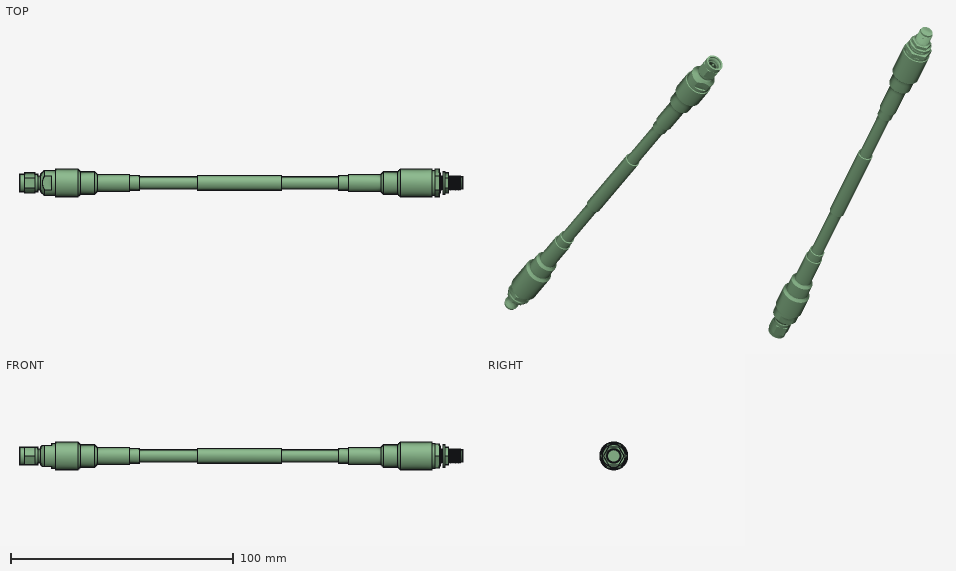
import cadquery as cq
import math

LENGTH = 199.4

BARREL_R = 6.28
COLLAR_R = 5.7
CRIMP_R = 5.1
BOOT_R = 3.9
BOOT_TIP_R = 3.4
CABLE_R = 2.8

BOOT_TIP_LENGTH = 4.4
BOOT_LENGTH = 19.0
CRIMP_END = 26.5

THREAD_R = 3.2
THREAD_DEPTH = 0.4
THREAD_PITCH = 0.7
SMALL_HEX_FLATS = 8.0
SMALL_HEX_CORNER_R = SMALL_HEX_FLATS / 2 / math.cos(math.radians(30))

NUT_LENGTH = 8.2
NUT_HEX_START = 2.2
NUT_HEX_END = 6.8
NUT_THREAD_START = 0.8
NUT_THREAD_COUNT = 5

PIN_R = 0.4
PIN_START = 1.5
NOSE_R = 2.5
NOSE_BORE_R = 2.0
NOSE_START = 2.4
DIELECTRIC_FACE = 4.4
SPIGOT_R = THREAD_R
SPIGOT_START = 5.5
SHOULDER_R = 4.0
SHOULDER_START = 9.4
CONE_END = 11.2
FLAT_END = 14.4
FLAT_SPACING = 9.5
PLUG_BARREL_START = 16.1
PLUG_END = 53.8

SLEEVE_R = 3.4
SLEEVE_START = 80.0
SLEEVE_END = 117.8

JACK_START = 143.5
JACK_BARREL_END = 185.6
JACK_HEX_START = 186.8
JACK_HEX_END = 188.8
JACK_STEP_R = 4.5
JACK_STEP_END = 189.5
JACK_THREAD_COUNT = 13
TIP_R = THREAD_R - THREAD_DEPTH

WASHER_R = 5.1
WASHER_START = 190.4
HEX_NUT_START = 191.4
HEX_NUT_END = 193.0


def revolve_profile(points):
    """Solid of revolution about X from the (x, radius) points of its outline."""
    return cq.Workplane("XY").polyline(points).close().revolve(360, (0, 0, 0), (1, 0, 0))


def disc(start, end, radius):
    return cq.Workplane("YZ", origin=(start, 0, 0)).circle(radius).extrude(end - start)


def tube(start, end, radius, bore_radius):
    return disc(start, end, radius).cut(disc(start, end, bore_radius))


def hex_prism(start, end, corner_radius):
    """Hexagonal prism along X with flats facing +Z and -Z."""
    return cq.Workplane("YZ", origin=(start, 0, 0)).polygon(6, 2 * corner_radius).extrude(end - start)


def thread_outline(start, count, crest_radius, root_radius):
    """Saw-tooth outline of `count` ring-shaped thread ridges, from root to root."""
    points = [(start, root_radius)]
    for ridge in range(count):
        ridge_start = start + ridge * THREAD_PITCH
        points.append((ridge_start + THREAD_PITCH / 2, crest_radius))
        points.append((ridge_start + THREAD_PITCH, root_radius))
    return points


def rear_outline(boot_end, direction):
    """Outline from the barrel to the axis at the end of a boot that faces +X (direction 1) or -X (-1).

    The barrel and the crimp ring each end in a 45 degree chamfer as high as the step behind it.
    """
    steps = [
        (CRIMP_END + BARREL_R - CRIMP_R, BARREL_R),
        (CRIMP_END, CRIMP_R),
        (BOOT_LENGTH + CRIMP_R - BOOT_R, CRIMP_R),
        (BOOT_LENGTH, BOOT_R),
        (BOOT_TIP_LENGTH, BOOT_R),
        (BOOT_TIP_LENGTH, BOOT_TIP_R),
        (0, BOOT_TIP_R),
        (0, 0),
    ]
    return [(boot_end - direction * distance, radius) for distance, radius in steps]


def make_coupling_nut():
    grip = hex_prism(NUT_HEX_START, NUT_HEX_END, SMALL_HEX_CORNER_R)
    body = disc(0, NUT_LENGTH, SMALL_HEX_FLATS / 2).union(grip)
    bore_outline = [(0, 0), (0, THREAD_R)]
    bore_outline += thread_outline(NUT_THREAD_START, NUT_THREAD_COUNT, THREAD_R - THREAD_DEPTH, THREAD_R)
    bore_outline += [(NUT_LENGTH, THREAD_R), (NUT_LENGTH, 0)]
    return body.cut(revolve_profile(bore_outline))


def make_plug():
    front_outline = [
        (PIN_START, 0),
        (PIN_START, PIN_R),
        (DIELECTRIC_FACE, PIN_R),
        (DIELECTRIC_FACE, NOSE_BORE_R),
        (NOSE_START, NOSE_BORE_R),
        (NOSE_START, NOSE_R),
        (SPIGOT_START, NOSE_R),
        (SPIGOT_START, SPIGOT_R),
        (SHOULDER_START, SPIGOT_R),
        (SHOULDER_START, SHOULDER_R),
        (CONE_END, COLLAR_R),
        (PLUG_BARREL_START, COLLAR_R),
        (PLUG_BARREL_START, BARREL_R),
    ]
    plug = revolve_profile(front_outline + rear_outline(PLUG_END, 1))

    flat_length = FLAT_END - SHOULDER_START
    cutter_height = COLLAR_R
    for side in (1, -1):
        cutter = cq.Workplane("XY").box(flat_length, 2 * COLLAR_R, cutter_height).translate(
            (SHOULDER_START + flat_length / 2, 0, side * (FLAT_SPACING + cutter_height) / 2)
        )
        plug = plug.cut(cutter)
    return plug


def make_jack():
    front_outline = [(LENGTH, 0), (LENGTH, TIP_R)]
    front_outline += thread_outline(JACK_STEP_END, JACK_THREAD_COUNT, THREAD_R, TIP_R)[::-1]
    front_outline += [
        (JACK_STEP_END, JACK_STEP_R),
        (JACK_HEX_START, JACK_STEP_R),
        (JACK_HEX_START, COLLAR_R),
        (JACK_BARREL_END, COLLAR_R),
        (JACK_BARREL_END, BARREL_R),
    ]
    jack = revolve_profile(front_outline + rear_outline(JACK_START, -1))

    return jack.union(hex_prism(JACK_HEX_START, JACK_HEX_END, BARREL_R))


def make_cable():
    return disc(PLUG_END, JACK_START, CABLE_R)


def make_sleeve():
    return tube(SLEEVE_START, SLEEVE_END, SLEEVE_R, CABLE_R)


def make_washer():
    return tube(WASHER_START, HEX_NUT_START, WASHER_R, THREAD_R)


def make_hex_nut():
    body = hex_prism(HEX_NUT_START, HEX_NUT_END, SMALL_HEX_CORNER_R)
    return body.cut(disc(HEX_NUT_START, HEX_NUT_END, THREAD_R))


coupling_nut = make_coupling_nut()
plug = make_plug()
cable = make_cable()
sleeve = make_sleeve()
jack = make_jack()
washer = make_washer()
hex_nut = make_hex_nut()

result = cq.Compound.makeCompound(
    [
        coupling_nut.val(),
        plug.val(),
        cable.val(),
        sleeve.val(),
        jack.val(),
        washer.val(),
        hex_nut.val(),
    ]
)